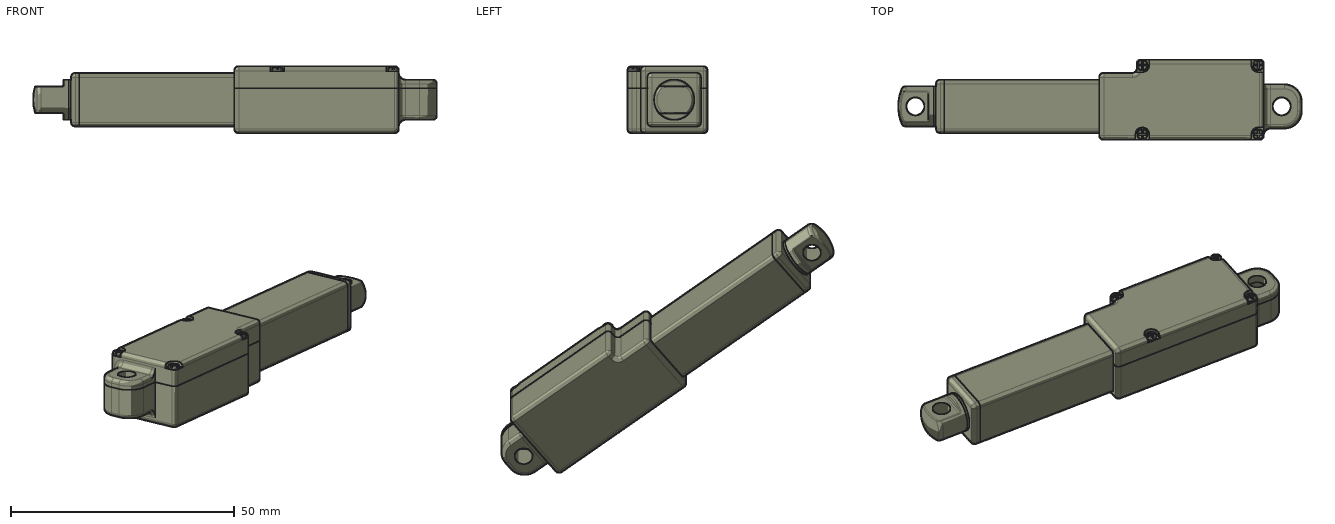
import cadquery as cq


overall_length = 90.5
edge_round = 1.0
pin_hole_dia = 4.0

housing_front = 45.1
housing_rear = 82.0
housing_side = 15.0
wide_front = 53.5
wide_extra = 3.0
seam_height = 2.5

lug_width = 10.0
lug_height = 9.05
lug_corner_round = 4.0
lug_flare_round = 1.45
lug_hole_x = 86.0
lug_embedded = 2.7

screw_inset = 1.3
screw_pocket_radius = 1.5
screw_pocket_depth = 1.1
screw_head_radius = 1.2
screw_head_height = 0.7
screw_edge_round = 0.3
recess_length = 1.8
recess_width = 0.4
recess_depth = 0.4

tube_side = 12.0
cap_front = 8.5
tube_front = 10.4

rod_dia = 9.05
rod_front = 8.0
clevis_thickness = 6.0
clevis_shoulder = 6.8
clevis_hole_x = 3.9
clevis_dome_radius = 10.0
flat_edge_round = 0.3

half_side = housing_side / 2
wide_edge = half_side + wide_extra
pocket_floor = half_side - screw_pocket_depth
screw_front_x = wide_front + screw_inset
screw_rear_x = housing_rear - screw_inset
screw_narrow_y = screw_inset - half_side
screw_wide_y = wide_edge - screw_inset

screw_places = [
    (screw_front_x, screw_narrow_y, [270]),
    (screw_rear_x, screw_narrow_y, [0, 270]),
    (screw_front_x, screw_wide_y, [90, 180]),
    (screw_rear_x, screw_wide_y, [0, 90]),
]


def box_between(x_range, y_range, z_range):
    ranges = (x_range, y_range, z_range)
    size = [high - low for low, high in ranges]
    corner = tuple(low for low, high in ranges)
    return cq.Workplane().box(*size, centered=False).translate(corner)


def square_bar(front, rear):
    """A bar of the tube's section along X, with rounded long edges."""
    half = tube_side / 2
    return box_between((front, rear), (-half, half), (-half, half)).edges("|X").fillet(edge_round)


def round_bar(front, rear):
    """A bar of the rod's diameter along X."""
    return cq.Workplane("YZ", origin=(front, 0, 0)).circle(rod_dia / 2).extrude(rear - front)


def pin_hole(x, length):
    """A vertical pin hole through a body of the given height."""
    return cq.Workplane().center(x, 0).circle(pin_hole_dia / 2).extrude(length / 2, both=True)


def housing_block():
    outline = [
        (housing_front, -half_side),
        (housing_rear, -half_side),
        (housing_rear, wide_edge),
        (wide_front, wide_edge),
        (wide_front, half_side),
        (housing_front, half_side),
    ]
    block = cq.Workplane().polyline(outline).close().extrude(half_side, both=True)
    return block.edges("|Z").fillet(edge_round).faces("<Z or >Z").edges().fillet(edge_round)


def mounting_lug():
    lug = box_between(
        (housing_rear - lug_embedded, overall_length),
        (-lug_width / 2, lug_width / 2),
        (-lug_height / 2, lug_height / 2),
    )
    lug = lug.edges("|Z and >X").fillet(lug_corner_round)
    return lug.faces("<Z or >Z").edges("not <X").fillet(edge_round)


def gearbox_shape():
    """Housing and cover as one block, with the lug flaring into the rear face."""
    block = housing_block().union(mounting_lug())
    slack = 0.1
    root_edges = cq.selectors.BoxSelector(
        (housing_rear - slack, -lug_width / 2 - slack, -lug_height / 2 - slack),
        (housing_rear + slack, lug_width / 2 + slack, lug_height / 2 + slack),
        boundingbox=True,
    )
    block = block.edges(root_edges).fillet(lug_flare_round)
    straight_side = box_between(
        (housing_rear, overall_length), (lug_width / 2, wide_edge), (-half_side, half_side)
    )
    return block.cut(straight_side).cut(pin_hole(lug_hole_x, lug_height))


def screw_pocket(x, y, open_directions):
    """A round seat whose walls run straight out through the open sides."""
    radius = screw_pocket_radius
    pocket = cq.Workplane().circle(radius).extrude(screw_pocket_depth)
    exit_slot = box_between((0, 2 * radius), (-radius, radius), (0, screw_pocket_depth))
    for angle in open_directions:
        pocket = pocket.union(exit_slot.rotate((0, 0, 0), (0, 0, 1), angle))
    return pocket.translate((x, y, pocket_floor))


def screw_head(x, y):
    """A round head with a cross recess, sitting on the floor of its pocket."""
    head = cq.Workplane().circle(screw_head_radius).extrude(screw_head_height)
    head = head.faces(">Z").edges().fillet(screw_edge_round)
    recess_plane = cq.Workplane(origin=(0, 0, screw_head_height - recess_depth))
    for slot_size in ((recess_length, recess_width), (recess_width, recess_length)):
        head = head.cut(recess_plane.rect(*slot_size).extrude(recess_depth))
    return head.translate((x, y, pocket_floor))


def clevis_shape():
    """A round head with a domed tip, flattened above and below and drilled for a pin."""
    dome = cq.Workplane(origin=(clevis_dome_radius, 0, 0)).sphere(clevis_dome_radius)
    clevis = round_bar(0, rod_front).intersect(dome).faces("<X").edges().fillet(edge_round)
    half_thickness = clevis_thickness / 2
    for z_range in ((half_thickness, rod_dia), (-rod_dia, -half_thickness)):
        clevis = clevis.cut(box_between((0, clevis_shoulder), (-rod_dia, rod_dia), z_range))
    clevis = clevis.faces("|Z").edges("|Y and >X").fillet(flat_edge_round)
    clevis = clevis.faces("|Z").edges("not |Y").fillet(flat_edge_round)
    return clevis.cut(pin_hole(clevis_hole_x, clevis_thickness))


gearbox = gearbox_shape()
below_seam = box_between(
    (housing_front, overall_length), (-half_side, wide_edge), (-half_side, seam_height)
)
housing = gearbox.intersect(below_seam)
cover = gearbox.cut(below_seam)

screws = []
for screw_x, screw_y, open_directions in screw_places:
    cover = cover.cut(screw_pocket(screw_x, screw_y, open_directions))
    screws.append(screw_head(screw_x, screw_y))

tube = square_bar(tube_front, housing_front)
rod = round_bar(rod_front, tube_front)
cap = square_bar(cap_front, tube_front).faces("<X").edges().fillet(edge_round).cut(rod)
clevis = clevis_shape()

bodies = [housing, cover, tube, cap, rod, clevis, *screws]
result = cq.Compound.makeCompound([body.solids().val() for body in bodies])